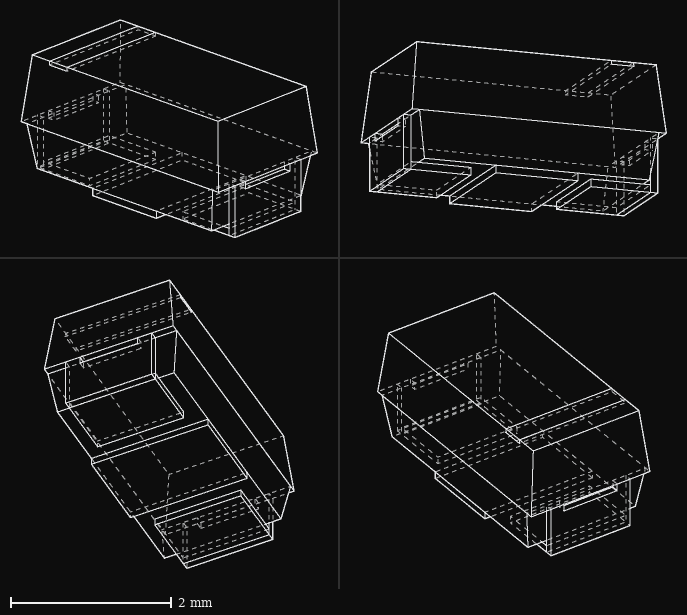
import cadquery as cq

length = 3.4
width = 1.8
height = 1.6

metal_thickness = 0.1
parting_height = 0.7
taper_inset = metal_thickness
case_top_length = length - 2 * taper_inset
case_top_width = width - 2 * taper_inset
lower_case_length = length - 2 * metal_thickness
lower_case_bottom_length = lower_case_length - 2 * taper_inset
lower_case_bottom_width = 1.63

stripe_offset = 0.4
stripe_length = 0.3
stripe_depth = 0.05

lead_width = 1.2
notch_width = 0.805
notch_depth = 0.1
foot_length = 0.8
center_pad_length = 1.098


def tapered_block(bottom_length, bottom_width, top_length, top_width, bottom, top):
    """Loft a rectangle at height `bottom` to a rectangle at height `top`."""
    return (
        cq.Workplane("XY", origin=(0, 0, bottom))
        .rect(bottom_length, bottom_width)
        .workplane(offset=top - bottom)
        .rect(top_length, top_width)
        .loft(ruled=True, combine=True)
    )


def box_on_base(size_x, size_y, size_z, x=0.0, z=0.0):
    """Box centered on Y = 0, with its base at height z and its middle at x."""
    return cq.Workplane("XY", origin=(x, 0, z)).box(size_x, size_y, size_z, centered=(True, True, False))


def make_end_lead(side):
    """Upright lead with an open notch in its top edge; side is -1 or 1."""
    x = side * (length - metal_thickness) / 2
    lead = box_on_base(metal_thickness, lead_width, parting_height, x)
    notch = box_on_base(metal_thickness, notch_width, notch_depth, x, parting_height - notch_depth)
    return lead.cut(notch)


def make_foot(side):
    """Flat foot running inward from the bottom of an end lead; side is -1 or 1."""
    x = side * (length / 2 - metal_thickness - foot_length / 2)
    return box_on_base(foot_length, lead_width, metal_thickness, x)


case_blank = tapered_block(length, width, case_top_length, case_top_width, parting_height, height)
stripe_x = -length / 2 + stripe_offset + stripe_length / 2
stripe_envelope = box_on_base(stripe_length, width, stripe_depth, stripe_x, height - stripe_depth)
polarity_stripe = case_blank.intersect(stripe_envelope)
upper_case = case_blank.cut(stripe_envelope)

lower_case = tapered_block(
    lower_case_bottom_length,
    lower_case_bottom_width,
    lower_case_length,
    width,
    metal_thickness,
    parting_height,
)

center_pad = box_on_base(center_pad_length, lower_case_bottom_width, metal_thickness)

end_leads = [make_end_lead(side) for side in (-1, 1)]
feet = [make_foot(side) for side in (-1, 1)]

result = cq.Compound.makeCompound([
    upper_case.val(),
    polarity_stripe.val(),
    lower_case.val(),
    center_pad.val(),
    *[lead.val() for lead in end_leads],
    *[foot.val() for foot in feet],
])